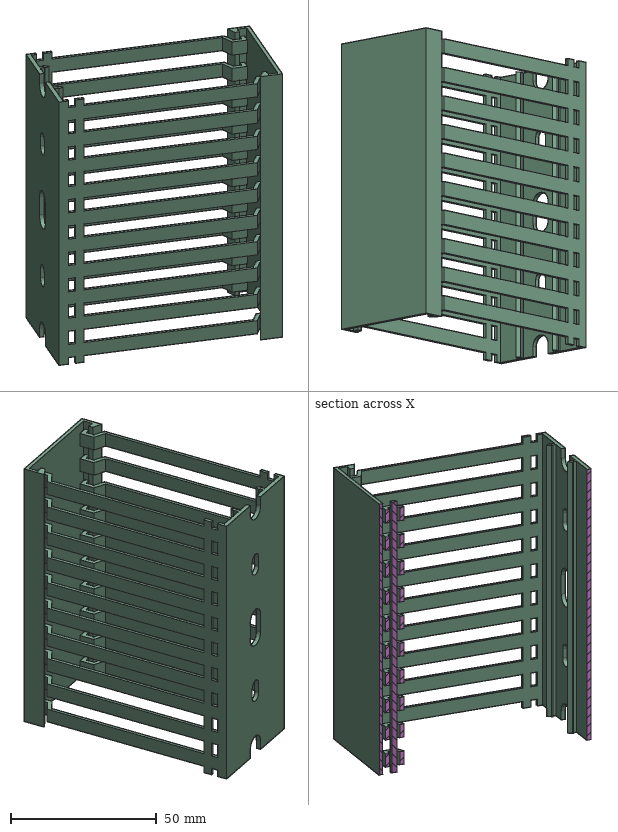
import cadquery as cq

WIDTH = 40.0
HEIGHT = 80.0
LENGTH = 100.0
HALF_WIDTH = WIDTH / 2

WALL = 1.2
BASE_THICKNESS = 1.6

FINGER_PITCH = 10.0
FINGER_GAP = 5.0
GAP_COUNT = round(LENGTH / FINGER_PITCH) + 1
GAP_BOTTOM = 9.0
BREAK_SLOT_BOTTOM = 3.5
BREAK_SLOT_TOP = 6.0

BEND_START = 71.0
BEND_RISE = 2.0
BEND_THICKNESS = 1.7
TIP_INSET = 3.9
TIP_THICKNESS = 1.6
TIP_TOP = 77.6
LIP_INSET = 2.0
LIP_THICKNESS = 1.6

RIB_OFFSET = 8.6
RIB_STEM = 1.2
RIB_BARB_WIDTH = 2.4
RIB_TOP = 4.8
RIB_BARB_BOTTOM = 3.0
RIB_BARB_ROOT = 3.2

LARGE_SLOT_WIDTH = 7.0
LARGE_SLOT_LENGTH = 14.0
LARGE_SLOT_PITCH = LENGTH / 2
SMALL_SLOT_WIDTH = 4.5
SMALL_SLOT_LENGTH = 8.0

COVER_THICKNESS = 1.4
COVER_WALL = 1.2
COVER_DEPTH = 7.9
CATCH_INSET = 3.5
CATCH_TOP = HEIGHT - 4.7
CATCH_THICKNESS = 1.6


def extrude_profile(points):
    """Extrude a closed XY outline over the full length of the duct."""
    return cq.Workplane("XY").polyline(points).close().extrude(LENGTH)


def symmetric_profile(right_half):
    """Close a right-hand outline with its mirror image in the YZ plane and extrude it."""
    left_half = [(-x, y) for x, y in reversed(right_half)]
    return extrude_profile(right_half + left_half)


def trunking_shell():
    """U-shaped duct with inward-bent, hooked wall tips."""
    tip_outer = HALF_WIDTH - TIP_INSET
    tip_inner = tip_outer - TIP_THICKNESS
    wall_inner = HALF_WIDTH - WALL
    lip_end = HALF_WIDTH - LIP_INSET
    lip_bottom = TIP_TOP - LIP_THICKNESS
    bend_slope = BEND_RISE / TIP_INSET

    def bend_inner_height(x):
        return BEND_START + bend_slope * (HALF_WIDTH - x) - BEND_THICKNESS

    return symmetric_profile([
        (HALF_WIDTH, 0),
        (HALF_WIDTH, BEND_START),
        (tip_outer, BEND_START + BEND_RISE),
        (tip_outer, lip_bottom),
        (lip_end, lip_bottom),
        (lip_end, TIP_TOP),
        (tip_inner, TIP_TOP),
        (tip_inner, bend_inner_height(tip_inner)),
        (wall_inner, bend_inner_height(wall_inner)),
        (wall_inner, BASE_THICKNESS),
    ])


def base_rib(center_x):
    """Barbed rib that stands on the base and runs the full length."""
    stem = RIB_STEM / 2
    barb = RIB_BARB_WIDTH / 2
    right_side = [
        (stem, 0),
        (stem, RIB_BARB_ROOT),
        (barb, RIB_BARB_BOTTOM),
    ]
    left_side = [(-x, y) for x, y in reversed(right_side)]
    outline = right_side + [(0, RIB_TOP)] + left_side
    return extrude_profile([(center_x + x, y) for x, y in outline])


def wall_cutter(bottom, top, center_z):
    """Block that cuts both side walls between two heights, one finger gap long."""
    return (
        cq.Workplane("XY")
        .box(WIDTH, top - bottom, FINGER_GAP)
        .translate((0, (bottom + top) / 2, center_z))
    )


def base_slot(length, width, center_z):
    """Round-ended slot cutter through the base."""
    return (
        cq.Workplane("XZ")
        .center(0, center_z)
        .slot2D(length, width, 90)
        .extrude(-BASE_THICKNESS)
    )


def make_trunking():
    body = trunking_shell()

    for index in range(GAP_COUNT):
        center_z = index * FINGER_PITCH
        body = body.cut(wall_cutter(GAP_BOTTOM, HEIGHT, center_z))
        body = body.cut(wall_cutter(BREAK_SLOT_BOTTOM, BREAK_SLOT_TOP, center_z))

    for center_x in (-RIB_OFFSET, RIB_OFFSET):
        body = body.union(base_rib(center_x))

    for center_z in (0, LARGE_SLOT_PITCH, LENGTH):
        body = body.cut(base_slot(LARGE_SLOT_LENGTH, LARGE_SLOT_WIDTH, center_z))
    for center_z in (LARGE_SLOT_PITCH / 2, LENGTH - LARGE_SLOT_PITCH / 2):
        body = body.cut(base_slot(SMALL_SLOT_LENGTH, SMALL_SLOT_WIDTH, center_z))
    return body


def make_cover():
    """Channel-shaped cover whose rims carry inward catches below the finger hooks."""
    wall_inner = HALF_WIDTH - COVER_WALL
    catch_end = HALF_WIDTH - CATCH_INSET
    return symmetric_profile([
        (HALF_WIDTH, HEIGHT),
        (HALF_WIDTH, HEIGHT - COVER_DEPTH),
        (catch_end, CATCH_TOP - CATCH_THICKNESS),
        (catch_end, CATCH_TOP),
        (wall_inner, CATCH_TOP),
        (wall_inner, HEIGHT - COVER_THICKNESS),
    ])


trunking = make_trunking()
cover = make_cover()

result = cq.Compound.makeCompound([trunking.val(), cover.val()])